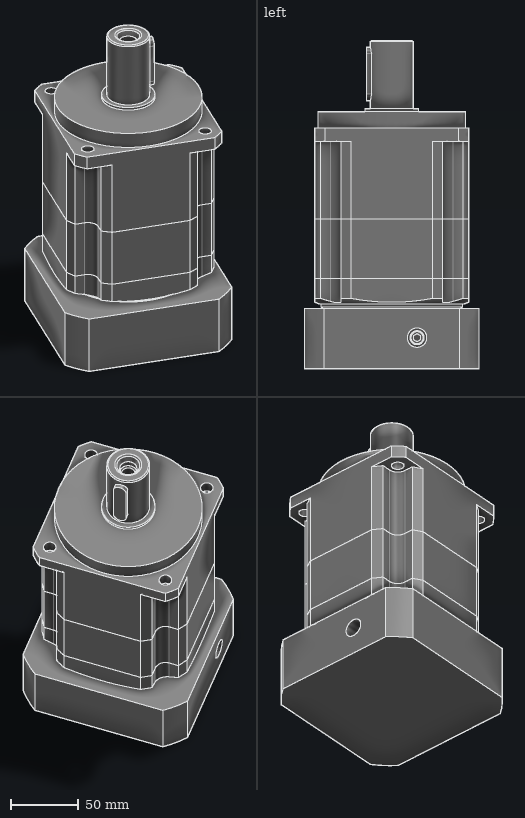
import cadquery as cq
import math


adapter_top = 45.0
neck_top = 48.2
rear_top = 67.2
ring_top = 111.7
flange_bottom = 169.5
flange_top = 179.5
pilot_top = 191.5
shoulder_top = 193.6
shaft_top = 244.5

adapter_width = 130.0
adapter_corner_radius = 82.5
access_hole_diameter = 14.5
access_hole_depth = 14.7
access_hole_y = -18.8
access_hole_z = 23.2
screw_head_diameter = 10.5
screw_head_height = 5.0
screw_head_chamfer = 0.7
socket_across_flats = 5.1
socket_depth = 2.5

casing_width = 115.0
half_casing = casing_width / 2
flange_corner_radius = 76.0
pilot_diameter = 110.0
bolt_offset = 45.7
bolt_hole_diameter = 9.3
bolt_relief_radius = 8.0
flat_half_length = 30.3
bevel_depth = 4.5

neck_radius = 52.8
neck_chamfer = 1.2
cone_bottom_radius = 53.8
cone_angle = 21.0

shaft_diameter = 32.0
shaft_radius = shaft_diameter / 2
shaft_chamfer = 1.0
shoulder_diameter = 39.9
key_width = 10.0
key_length = 40.0
key_height = 8.0
key_outer_y = 18.8
key_top_gap = 5.0

mouth_radius = 10.0
countersink_radius = 8.5
recess_radius = 6.4
bore_radius = 5.1
mouth_depth = 1.0
countersink_depth = 4.6
recess_depth = 9.5
bore_depth = 24.5
drill_half_angle = 59.0


def square_with_turned_corners(width, corner_radius, bottom, top):
    """Square plate whose corners are turned to a circle about the Z axis."""
    height = top - bottom
    square = cq.Workplane("XY").workplane(offset=bottom).rect(width, width).extrude(height)
    disc = cq.Workplane("XY").workplane(offset=bottom).circle(corner_radius).extrude(height)
    return square.intersect(disc)


def casing_section(bottom, top):
    """Length of casing with a bevelled, bolt-relieved notch at each corner."""
    wall = bolt_offset - bolt_relief_radius
    bevel_end = half_casing - bevel_depth
    arc_middle = bolt_offset - bolt_relief_radius / math.sqrt(2)
    section = cq.Workplane("XY").workplane(offset=bottom).rect(casing_width, casing_width)
    section = section.extrude(top - bottom)
    notch = (
        cq.Workplane("XY")
        .workplane(offset=bottom)
        .moveTo(flat_half_length, half_casing)
        .lineTo(wall, bevel_end)
        .lineTo(wall, bolt_offset)
        .threePointArc((arc_middle, arc_middle), (bolt_offset, wall))
        .lineTo(bevel_end, wall)
        .lineTo(half_casing, flat_half_length)
        .lineTo(half_casing, half_casing)
        .close()
        .extrude(top - bottom)
    )
    for quarter in range(4):
        section = section.cut(notch.rotate((0, 0, 0), (0, 0, 1), 90 * quarter))
    return section


def make_adapter():
    adapter = square_with_turned_corners(adapter_width, adapter_corner_radius, 0, adapter_top)

    face_x = -adapter_width / 2
    floor_x = face_x + access_hole_depth
    head_x = floor_x - screw_head_height

    def side_sketch(x):
        return cq.Workplane("YZ", origin=(x, access_hole_y, access_hole_z))

    access_hole = side_sketch(face_x).circle(access_hole_diameter / 2).extrude(access_hole_depth)
    screw_head = side_sketch(head_x).circle(screw_head_diameter / 2).extrude(screw_head_height)
    screw_head = screw_head.faces("<X").chamfer(screw_head_chamfer)
    socket_diameter = socket_across_flats / math.cos(math.radians(30))
    socket = side_sketch(head_x).transformed(rotate=(0, 0, 30)).polygon(6, socket_diameter)
    return adapter.cut(access_hole.cut(screw_head)).cut(socket.extrude(socket_depth))


def make_rear_housing():
    outer_radius = casing_width
    cone_rise = (outer_radius - cone_bottom_radius) * math.tan(math.radians(cone_angle))
    envelope_top = neck_top + cone_rise
    cone = (
        cq.Workplane("XZ")
        .moveTo(0, neck_top)
        .lineTo(cone_bottom_radius, neck_top)
        .lineTo(outer_radius, envelope_top)
        .lineTo(0, envelope_top)
        .close()
        .revolve(360, (0, 0, 0), (0, 1, 0))
    )
    neck = (
        cq.Workplane("XY")
        .workplane(offset=adapter_top)
        .circle(neck_radius)
        .extrude(neck_top - adapter_top)
        .faces("<Z")
        .chamfer(neck_chamfer)
    )
    return casing_section(neck_top, rear_top).intersect(cone).union(neck)


def make_ring_gear():
    return casing_section(rear_top, ring_top)


def make_front_housing():
    flange = square_with_turned_corners(casing_width, flange_corner_radius, flange_bottom, flange_top)
    bolt_holes = (
        cq.Workplane("XY")
        .workplane(offset=flange_bottom)
        .rect(2 * bolt_offset, 2 * bolt_offset, forConstruction=True)
        .vertices()
        .circle(bolt_hole_diameter / 2)
        .extrude(flange_top - flange_bottom)
    )
    pilot = cq.Workplane("XY").workplane(offset=flange_top).circle(pilot_diameter / 2)
    pilot = pilot.extrude(pilot_top - flange_top)
    return casing_section(ring_top, flange_bottom).union(flange.cut(bolt_holes)).union(pilot)


def make_key():
    """Round-ended parallel key standing along Z on the +Y side of the shaft."""
    middle_z = shaft_top - key_top_gap - key_length / 2
    key_plane = cq.Workplane("XZ", origin=(0, key_outer_y, middle_z))
    return key_plane.slot2D(key_length, key_width, 90).extrude(key_height)


def make_center_hole():
    tip_length = bore_radius / math.tan(math.radians(drill_half_angle))
    cone_end_depth = recess_depth + recess_radius - bore_radius
    return (
        cq.Workplane("XZ")
        .moveTo(0, shaft_top)
        .lineTo(mouth_radius, shaft_top)
        .lineTo(countersink_radius, shaft_top - mouth_depth)
        .lineTo(recess_radius, shaft_top - countersink_depth)
        .lineTo(recess_radius, shaft_top - recess_depth)
        .lineTo(bore_radius, shaft_top - cone_end_depth)
        .lineTo(bore_radius, shaft_top - bore_depth)
        .lineTo(0, shaft_top - bore_depth - tip_length)
        .close()
        .revolve(360, (0, 0, 0), (0, 1, 0))
    )


def make_output_shaft(key):
    shoulder = cq.Workplane("XY").workplane(offset=pilot_top).circle(shoulder_diameter / 2)
    shoulder = shoulder.extrude(shoulder_top - pilot_top)
    journal = cq.Workplane("XY").workplane(offset=shoulder_top).circle(shaft_radius)
    journal = journal.extrude(shaft_top - shoulder_top).faces(">Z").chamfer(shaft_chamfer)
    return shoulder.union(journal).cut(make_center_hole()).cut(key)


adapter = make_adapter()
rear_housing = make_rear_housing()
ring_gear = make_ring_gear()
front_housing = make_front_housing()
key = make_key()
output_shaft = make_output_shaft(key)

result = cq.Compound.makeCompound([
    adapter.val(),
    rear_housing.val(),
    ring_gear.val(),
    front_housing.val(),
    output_shaft.val(),
    key.val(),
])